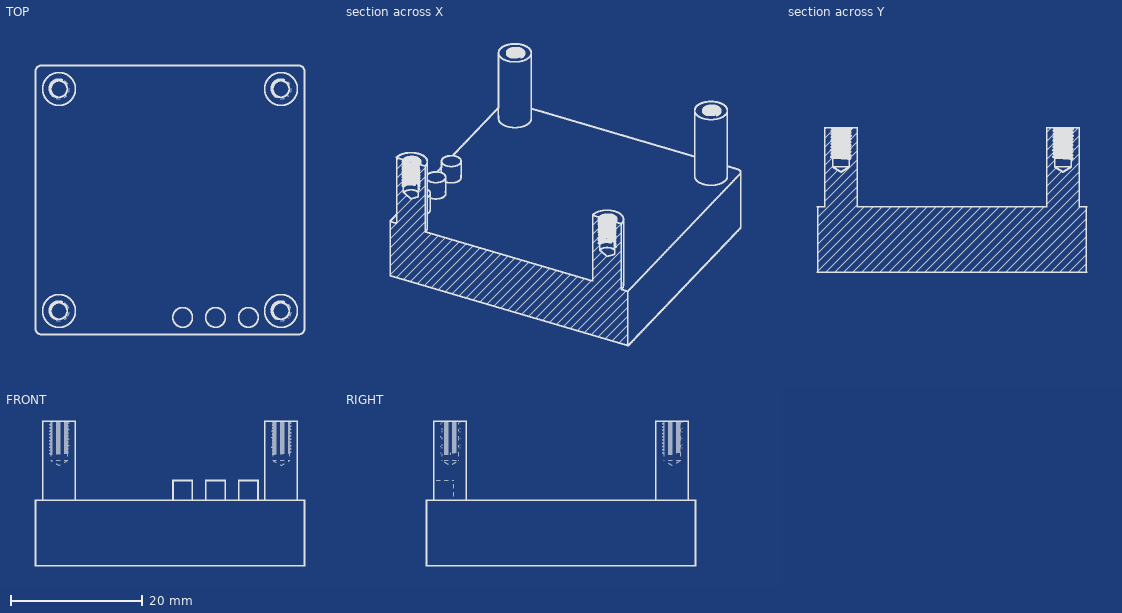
import cadquery as cq
import math

SIDE = 41.0
BASE_HEIGHT = 10.0
CORNER_RADIUS = 1.0

TOTAL_HEIGHT = 22.0
STANDOFF_HEIGHT = TOTAL_HEIGHT - BASE_HEIGHT
STANDOFF_DIAMETER = 5.0
STANDOFF_SPACING = 33.8
HOLE_DIAMETER = 2.5
HOLE_DEPTH = 6.0
DRILL_POINT_ANGLE = 118.0

THREAD_DIAMETER = 3.0
THREAD_PITCH = 0.5
THREAD_ANGLE = 60.0
THREAD_TURNS = 10
THREAD_RUNOUT_TURNS = 1
THREAD_OVERLAP = 0.1
THREAD_START_ANGLE = 180.0

PIN_DIAMETER = 3.0
PIN_HEIGHT = 3.0
PIN_PITCH = 5.0
PIN_COUNT = 3
FIRST_PIN_X = 1.93
PIN_ROW_Y = -17.88


def make_base():
    block = cq.Workplane("XY").box(SIDE, SIDE, BASE_HEIGHT, centered=(True, True, False))
    return block.edges("|Z").fillet(CORNER_RADIUS)


def make_hole():
    radius = HOLE_DIAMETER / 2
    bottom = TOTAL_HEIGHT - HOLE_DEPTH
    tip = bottom - radius / math.tan(math.radians(DRILL_POINT_ANGLE / 2))
    profile = [(0, tip), (radius, bottom), (radius, TOTAL_HEIGHT), (0, TOTAL_HEIGHT)]
    return cq.Workplane("YZ").polyline(profile).close().revolve(360, (0, 0), (0, 1))


def make_thread_groove():
    root = THREAD_DIAMETER / 2
    mouth = HOLE_DIAMETER / 2 - THREAD_OVERLAP
    half_width = (root - mouth) * math.tan(math.radians(THREAD_ANGLE / 2))
    length = (THREAD_TURNS + THREAD_RUNOUT_TURNS) * THREAD_PITCH
    helix = cq.Wire.makeHelix(THREAD_PITCH, length, HOLE_DIAMETER / 2)
    profile = cq.Workplane("XZ").polyline([(mouth, -half_width), (root, 0), (mouth, half_width)]).close()
    groove = profile.sweep(cq.Workplane(helix), isFrenet=True)
    groove = groove.rotate((0, 0, 0), (0, 0, 1), THREAD_START_ANGLE)
    return groove.translate((0, 0, TOTAL_HEIGHT - THREAD_TURNS * THREAD_PITCH))


def make_standoff():
    plane = cq.Workplane("XY").workplane(offset=BASE_HEIGHT)
    post = plane.circle(STANDOFF_DIAMETER / 2).extrude(STANDOFF_HEIGHT)
    return post.cut(make_thread_groove()).cut(make_hole())


def make_pins():
    places = [(FIRST_PIN_X + i * PIN_PITCH, PIN_ROW_Y) for i in range(PIN_COUNT)]
    plane = cq.Workplane("XY").workplane(offset=BASE_HEIGHT)
    return plane.pushPoints(places).circle(PIN_DIAMETER / 2).extrude(PIN_HEIGHT)


result = make_base().union(make_pins())
standoff = make_standoff()
for x_side in (-1, 1):
    for y_side in (-1, 1):
        place = (x_side * STANDOFF_SPACING / 2, y_side * STANDOFF_SPACING / 2, 0)
        result = result.union(standoff.translate(place))